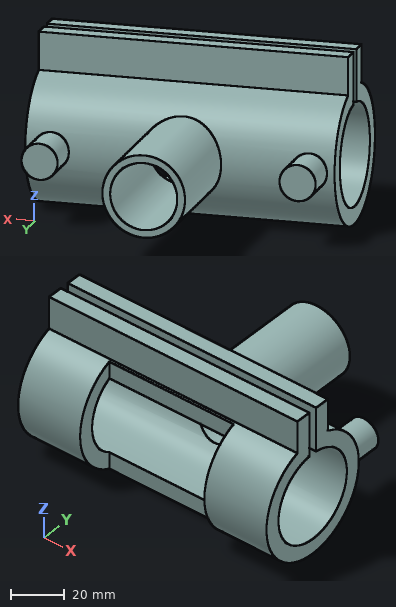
import cadquery as cq

length = 120.0
sleeve_diameter = 54.0
bore_diameter = 40.0
sleeve_radius = sleeve_diameter / 2

slit_width = 4.0
flange_thickness = 7.0
flange_top = 40.3

window_length = length / 2
window_plane_y = -10.0

tube_diameter = 32.0
tube_bore_diameter = 26.0
tube_end_y = 75.0
peg_diameter = 14.0
peg_end_y = 42.0
peg_spacing = 100.1


def cylinder_along_x(diameter):
    """Cylinder over the whole sleeve length."""
    return cq.Workplane("YZ").circle(diameter / 2).extrude(length / 2, both=True)


def cylinder_along_y(diameter, end_y, x=0):
    """Cylinder from the sleeve axis out to end_y."""
    return cq.Workplane("XZ").center(x, 0).circle(diameter / 2).extrude(-end_y)


def block_above_axis(width):
    """Block from the sleeve axis up to the flange tops, centred on Y = 0."""
    return cq.Workplane("XY").rect(length, width).extrude(flange_top)


def make_window():
    """Block that removes the front wall beyond the window plane."""
    depth = sleeve_radius + window_plane_y
    center_y = window_plane_y - depth / 2
    return cq.Workplane("XY").box(window_length, depth, sleeve_diameter).translate((0, center_y, 0))


body = cylinder_along_x(sleeve_diameter)
body = body.union(block_above_axis(slit_width + 2 * flange_thickness))
body = body.union(cylinder_along_y(tube_diameter, tube_end_y))
for side in (-1, 1):
    body = body.union(cylinder_along_y(peg_diameter, peg_end_y, side * peg_spacing / 2))

body = body.cut(cylinder_along_x(bore_diameter))
body = body.cut(block_above_axis(slit_width))
body = body.cut(cylinder_along_y(tube_bore_diameter, tube_end_y))
result = body.cut(make_window())